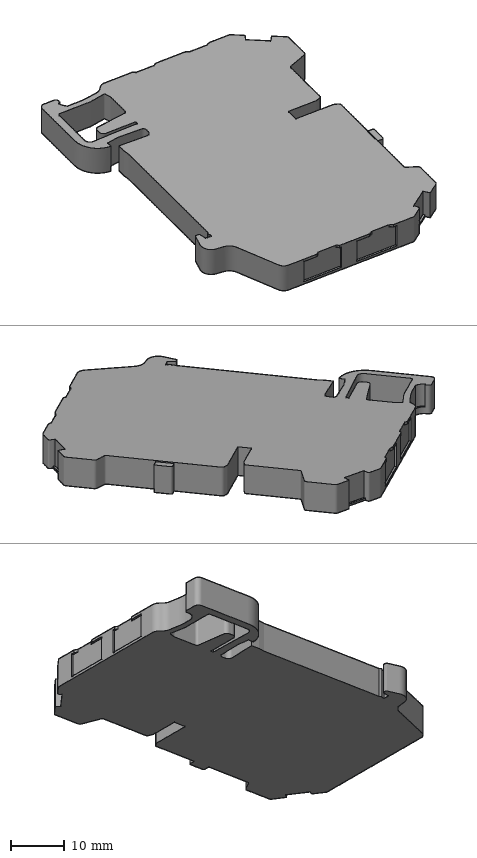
import cadquery as cq
import math

thickness = 5.95
total_height = 50.63
foot_overhang = 0.58
total_width = 65.73
body_width = total_width - foot_overhang

lug_top = total_height
shelf_y = 46.1
roof_y = 48.14
gap_left, gap_right, gap_floor = 25.6, 28.25, 38.65
gap_lead_in_x, gap_lead_in_y = 0.5, 1.2
left_lug_end, shelf_start = 12.5, 14.3
roof_end, right_lug_start = 51.5, 52.75
lug_corner_radius = 0.6
valley_radius = 0.4
gap_lead_in_radius = 0.3

shoulder_y = 41.7
shoulder_peak = (1.72, 44.05)
shoulder_radius, shoulder_peak_radius = 0.8, 0.35
label_seat_low = (2.48, 43.65)
label_seat_high = (5.3, 47.48)
lug_tip = (4.53, 48.1)
lug_corner_x = 6.35

base_y = 6.4
base_step_y = 6.2
base_step_start, base_step_end = 19.5, 20.8
bead_x, bead_radius, bead_sink = 49.1, 0.4, 0.2
hook_inner_x = 49.95
hook_inner_y = 5.15
hook_tip_x, hook_tip_low, hook_tip_high = 48.35, 3.85, 4.75
hook_tip_low_radius, hook_tip_high_radius = 0.15, 0.2
hook_heel, hook_heel_radius = (53.5, 2.6), 2.2
hook_root, hook_root_radius = (54.15, 8.05), 2.5
ramp_end_y, ramp_end_radius = 12.85, 1.8

neck_x = 2.27
foot_top = 3.85
foot_right = 16.93
foot_catch_y = 4.88
foot_arc_radius = 5.12
foot_lean = 0.24
neck_fillet = 2.0
foot_catch_x = 15.75
foot_heel_radius, foot_toe_radius = 1.0, 0.6
neck_bend, neck_bend_radius = (neck_x, 8.0), 9.5
neck_waist, neck_waist_radius = (1.6, 11.99), 2.1
neck_shoulder_y, neck_shoulder_radius = 13.07, 1.92
release_slot_top = 13.15
release_slot_left, release_slot_left_radius = 15.55, 0.7
release_slot_right, release_slot_right_radius = 17.85, 0.9
release_slot_mouth_right = 17.63
spring_bend, spring_bend_radius = (15.35, 7.4), 1.0

opening_left, opening_right = 3.46, 13.95
opening_floor, opening_top = 1.64, 12.75
opening_floor_left_radius, opening_floor_right_radius = 0.4, 1.2
opening_bend_y, opening_bend_radius = 8.8, 1.5
opening_shoulder, opening_shoulder_radius = (2.8, 12.3), 0.2
opening_top_left, opening_top_left_radius = 4.3, 1.0
opening_top_right = 13.7
tongue_root_left, tongue_root_radius = 9.75, 0.5
tongue_tip_left, tongue_tip_left_radius = 10.75, 0.8
tongue_right, tongue_tip_right_radius = 13.1, 0.9
tongue_tip_y = 5.25

neck_groove_radius = 2.42
neck_groove_left = 0.6
neck_groove_z = 1.4

side_recesses = [
    ((29.05, 37.9), (32.65, 36.4), (31.85, 37.15)),
    ((17.4, 25.65), (20.75, 24.75), (20.25, 25.27)),
]
recess_depth = 0.41
recess_margin_z = 0.58

label_groove_depth = 0.45
label_groove_lip = 0.41

tab_left, tab_right, tab_top = 38.25, 41.8, 49.6
tab_height = 5.7
tab_root_overlap = 1.0
tab_edge_radius = 0.3


def rounded_outline(corners):
    """Closed wire through (x, y, radius) corners, each rounded by a tangent arc."""
    edges = []
    arcs = []
    for i, (x, y, radius) in enumerate(corners):
        corner = cq.Vector(x, y)
        to_previous = (cq.Vector(*corners[i - 1][:2]) - corner).normalized()
        to_next = (cq.Vector(*corners[(i + 1) % len(corners)][:2]) - corner).normalized()
        half_angle = to_previous.getAngle(to_next) / 2
        setback = radius / math.tan(half_angle)
        bisector = (to_previous + to_next).normalized()
        middle = corner + bisector * (radius / math.sin(half_angle) - radius)
        arcs.append((corner + to_previous * setback, middle, corner + to_next * setback))
    for i, (start, middle, end) in enumerate(arcs):
        if corners[i][2] > 0:
            edges.append(cq.Edge.makeThreePointArc(start, middle, end))
        edges.append(cq.Edge.makeLine(end, arcs[(i + 1) % len(arcs)][0]))
    return cq.Wire.assembleEdges(edges)


def plate(corners, bottom=0.0, top=thickness):
    """Solid between two heights with the given rounded outline."""
    face = cq.Face.makeFromWires(rounded_outline(corners))
    solid = cq.Solid.extrudeLinear(face, cq.Vector(0, 0, top - bottom))
    return cq.Workplane("XY").add(solid.moved(cq.Location(cq.Vector(0, 0, bottom))))


def upper_corner():
    """Left upper corner of the outline, from the body side up to the lug."""
    return [
        (0, shoulder_y, shoulder_radius),
        (*shoulder_peak, shoulder_peak_radius),
        (*label_seat_low, 0),
        (*label_seat_high, 0),
        (*lug_tip, 0),
        (lug_corner_x, lug_top, lug_corner_radius),
    ]


def mirror_x(solid):
    return solid.mirror("YZ").translate((body_width, 0, 0))


def body():
    left_corner = upper_corner()
    right_corner = [(body_width - x, y, r) for x, y, r in reversed(left_corner)]
    top_edge = [
        (left_lug_end, lug_top, lug_corner_radius),
        (shelf_start, shelf_y, valley_radius),
        (gap_left - gap_lead_in_x, shelf_y, gap_lead_in_radius),
        (gap_left, shelf_y - gap_lead_in_y, gap_lead_in_radius),
        (gap_left, gap_floor, 0),
        (gap_right, gap_floor, 0),
        (gap_right, roof_y - gap_lead_in_y, gap_lead_in_radius),
        (gap_right + gap_lead_in_x, roof_y, lug_corner_radius),
        (roof_end, roof_y, valley_radius),
        (right_lug_start, lug_top, lug_corner_radius),
    ]
    rail_hook = [
        (body_width, ramp_end_y, ramp_end_radius),
        (*hook_root, hook_root_radius),
        (*hook_heel, hook_heel_radius),
        (hook_tip_x, hook_tip_low, hook_tip_low_radius),
        (hook_tip_x, hook_tip_high, hook_tip_high_radius),
        (hook_inner_x, hook_inner_y, 0),
        (hook_inner_x, base_y, 0),
    ]
    base = [
        (base_step_end, base_y, 0),
        (base_step_start, base_step_y, 0),
        (release_slot_mouth_right, base_step_y, 0),
        (release_slot_right, release_slot_top, release_slot_right_radius),
        (release_slot_left, release_slot_top, release_slot_left_radius),
        (*spring_bend, spring_bend_radius),
        (foot_catch_x, foot_catch_y, 0),
    ]
    clip = [
        (foot_right, foot_catch_y, 0),
        (foot_right - foot_lean, 0, foot_arc_radius),
        (-foot_overhang, 0, foot_heel_radius),
        (-foot_overhang, foot_top, foot_toe_radius),
        (neck_x, foot_top, neck_fillet),
        (*neck_bend, neck_bend_radius),
        (*neck_waist, neck_waist_radius),
        (0, neck_shoulder_y, neck_shoulder_radius),
    ]
    return plate(left_corner + top_edge + right_corner + rail_hook + base + clip)


def clip_opening():
    return plate(
        [
            (opening_left, opening_floor, opening_floor_left_radius),
            (opening_left, opening_bend_y, opening_bend_radius),
            (*opening_shoulder, opening_shoulder_radius),
            (opening_top_left, opening_top, opening_top_left_radius),
            (tongue_root_left, opening_top, tongue_root_radius),
            (tongue_tip_left, tongue_tip_y, tongue_tip_left_radius),
            (tongue_right, tongue_tip_y, tongue_tip_right_radius),
            (tongue_right, opening_top, 0),
            (opening_top_right, opening_top, 0),
            (opening_right, opening_floor, opening_floor_right_radius),
        ]
    )


def box(x_range, y_range, z_range):
    size = [high - low for low, high in (x_range, y_range, z_range)]
    corner = (x_range[0], y_range[0], z_range[0])
    return cq.Workplane("XY").box(*size, centered=False).translate(corner)


def neck_groove():
    center_x = neck_x - neck_fillet
    center_y = foot_top + neck_fillet
    cylinder = cq.Workplane("XY").center(center_x, center_y).circle(neck_groove_radius).extrude(thickness)
    limits = box(
        (neck_groove_left, neck_x),
        (center_y - neck_groove_radius, center_y),
        (neck_groove_z, thickness),
    )
    return cylinder.intersect(limits)


def side_recess(pocket, floor_opening, face_opening):
    cut = box((0, recess_depth), pocket, (recess_margin_z, thickness - recess_margin_z))
    opening = plate(
        [
            (0, face_opening[0], 0),
            (recess_depth, floor_opening[0], 0),
            (recess_depth, floor_opening[1], 0),
            (0, face_opening[1], 0),
        ],
        bottom=thickness - recess_margin_z,
    )
    return cut.union(opening)


def label_groove():
    low = cq.Vector(*label_seat_low)
    high = cq.Vector(*label_seat_high)
    along = (high - low).normalized()
    inward = cq.Vector(along.y, -along.x) * label_groove_depth
    corners = [(p.x, p.y, 0) for p in (low, high, high + inward, low + inward)]
    return plate(corners, bottom=label_groove_lip)


def retaining_bead():
    """Shallow rounded bead under the base edge, just inside the rail hook."""
    center_y = base_y - bead_sink + bead_radius
    return cq.Workplane("XY").center(bead_x, center_y).circle(bead_radius).extrude(thickness)


def top_tab():
    tab = box((tab_left, tab_right), (roof_y - tab_root_overlap, tab_top), (0, tab_height))
    return tab.edges("|Z and >Y").fillet(tab_edge_radius)


result = body().cut(clip_opening()).union(retaining_bead()).union(top_tab()).cut(neck_groove())
for recess in side_recesses:
    marker_pocket = side_recess(*recess)
    result = result.cut(marker_pocket).cut(mirror_x(marker_pocket))
result = result.cut(label_groove()).cut(mirror_x(label_groove()))